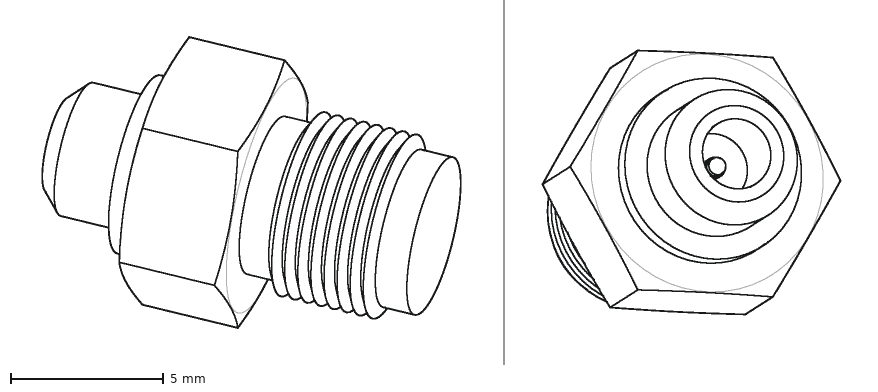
import cadquery as cq
import math

TOTAL_LENGTH = 13.08

NOSE_RADIUS = 2.26
NOSE_CHAMFER = 0.65
NOSE_LENGTH = 2.81

COLLAR_RADIUS = 3.02
COLLAR_LENGTH = 0.76

HEX_SIDES = 6
ACROSS_FLATS = 8.0
HEX_LENGTH = 3.67
HEX_FACE_RADIUS = 3.97
HEX_CHAMFER_ANGLE = 15.0

BARREL_RADIUS = 2.67
THREAD_CREST_RADIUS = 3.12
THREAD_HALF_ANGLE = 30.0
THREAD_PITCH = 0.456
THREAD_COUNT = 8
FIRST_CREST_FROM_HEX = 1.29

BORE_RADIUS = 1.17
BORE_DEPTH = NOSE_LENGTH
PIN_RADIUS = 0.34
PIN_LENGTH = 0.5
PIN_TIP_RADIUS = 0.29
PIN_TIP_LENGTH = 0.25

HEX_START = NOSE_LENGTH + COLLAR_LENGTH
HEX_END = HEX_START + HEX_LENGTH


def cylinder(start, length, radius):
    """Cylinder about the X axis beginning at the given station."""
    return cq.Workplane("YZ", origin=(start, 0, 0)).circle(radius).extrude(length)


def revolve_about_x(points):
    """Turn a closed outline of (X, radius) points about the X axis."""
    return cq.Workplane("XY").polyline(points).close().revolve(360, (0, 0, 0), (1, 0, 0))


def make_nose():
    """Plain cylinder with a 45 degree chamfer at the tip."""
    nose = cylinder(0, NOSE_LENGTH, NOSE_RADIUS)
    return nose.faces("<X").edges().chamfer(NOSE_CHAMFER)


def make_hexagon():
    """Hexagonal prism with both ends trimmed by a shallow cone."""
    corner_radius = ACROSS_FLATS / 2 / math.cos(math.pi / HEX_SIDES)
    cone_length = (corner_radius - HEX_FACE_RADIUS) * math.tan(math.radians(HEX_CHAMFER_ANGLE))
    hex_plane = cq.Workplane("YZ", origin=(HEX_START, 0, 0))
    prism = hex_plane.polygon(HEX_SIDES, 2 * corner_radius).extrude(HEX_LENGTH)
    envelope = revolve_about_x([
        (HEX_START, 0),
        (HEX_START, HEX_FACE_RADIUS),
        (HEX_START + cone_length, corner_radius),
        (HEX_END - cone_length, corner_radius),
        (HEX_END, HEX_FACE_RADIUS),
        (HEX_END, 0),
    ])
    return prism.intersect(envelope)


def make_threaded_barrel():
    """Barrel with V-shaped rings whose flanks meet just above its surface."""
    flank_slope = math.tan(math.radians(THREAD_HALF_ANGLE))
    half_base = (THREAD_CREST_RADIUS - BARREL_RADIUS) * flank_slope
    root_radius = THREAD_CREST_RADIUS - THREAD_PITCH / 2 / flank_slope
    first_crest = HEX_END + FIRST_CREST_FROM_HEX
    last_crest = first_crest + (THREAD_COUNT - 1) * THREAD_PITCH

    outline = [(HEX_END, 0), (HEX_END, BARREL_RADIUS), (first_crest - half_base, BARREL_RADIUS)]
    for ring in range(THREAD_COUNT):
        crest = first_crest + ring * THREAD_PITCH
        if ring > 0:
            outline.append((crest - THREAD_PITCH / 2, root_radius))
        outline.append((crest, THREAD_CREST_RADIUS))
    outline += [
        (last_crest + half_base, BARREL_RADIUS),
        (TOTAL_LENGTH, BARREL_RADIUS),
        (TOTAL_LENGTH, 0),
    ]
    return revolve_about_x(outline)


def make_bore():
    """Blind bore from the nose tip, leaving the stepped centre pin standing on its floor."""
    bore = cylinder(0, BORE_DEPTH, BORE_RADIUS)
    shank_length = PIN_LENGTH - PIN_TIP_LENGTH
    shank = cylinder(BORE_DEPTH - shank_length, shank_length, PIN_RADIUS)
    tip = cylinder(BORE_DEPTH - PIN_LENGTH, PIN_TIP_LENGTH, PIN_TIP_RADIUS)
    return bore.cut(shank).cut(tip)


collar = cylinder(NOSE_LENGTH, COLLAR_LENGTH, COLLAR_RADIUS)
body = make_nose().union(collar).union(make_hexagon()).union(make_threaded_barrel())
result = body.cut(make_bore())